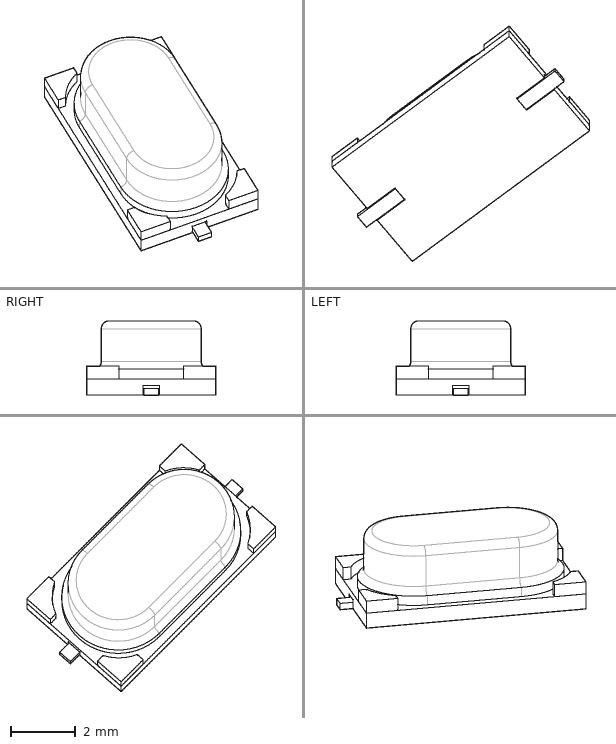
import cadquery as cq
import math


BASE_LENGTH = 7.0
BASE_WIDTH = 4.0
BASE_THICKNESS = 0.5
BASE_BOTTOM = 0.01
BASE_TOP = BASE_BOTTOM + BASE_THICKNESS

LEAD_SPAN = 7.8
LEAD_LENGTH = 1.5
LEAD_WIDTH = 0.45
LEAD_THICKNESS = 0.21
SLOT_WIDTH = 0.5
SLOT_HEIGHT = 0.3
LEAD_INNER_X = LEAD_SPAN / 2 - LEAD_LENGTH

BLOCK_SIDE = 1.0
BLOCK_HEIGHT = 0.4
BLOCK_FLAT = 0.25
HOLLOW_DEPTH = 0.09

CAN_HEIGHT = 1.8
END_CENTRE_SPACING = 2.995
FLANGE_WIDTH = 3.495
FLANGE_HEIGHT = 0.305
WALL_WIDTH = 3.1
END_CENTRE_X = END_CENTRE_SPACING / 2
FLANGE_RADIUS = FLANGE_WIDTH / 2
WALL_RADIUS = WALL_WIDTH / 2
FLANGE_STEP = FLANGE_RADIUS - WALL_RADIUS
FILLET_RADIUS = 0.25


def make_base():
    """Rectangular plate with an open-ended slot for a lead at each end."""
    plate = (
        cq.Workplane("XY", origin=(0, 0, BASE_BOTTOM))
        .rect(BASE_LENGTH, BASE_WIDTH)
        .extrude(BASE_THICKNESS)
    )
    slot_length = BASE_LENGTH / 2 - LEAD_INNER_X
    slots = (
        cq.Workplane("XY", origin=(0, 0, BASE_BOTTOM))
        .pushPoints([(side * (LEAD_INNER_X + slot_length / 2), 0) for side in (-1, 1)])
        .rect(slot_length, SLOT_WIDTH)
        .extrude(SLOT_HEIGHT)
    )
    return plate.cut(slots)


def make_lead(side):
    """Flat lead lying in the slot at the -X (side = -1) or +X (side = 1) end."""
    centre_x = side * (LEAD_SPAN - LEAD_LENGTH) / 2
    return (
        cq.Workplane("XY", origin=(centre_x, 0, 0))
        .rect(LEAD_LENGTH, LEAD_WIDTH)
        .extrude(LEAD_THICKNESS)
    )


def make_corner_block(side_x, side_y):
    """Square block on one base corner, its inner corner hollowed by an arc."""
    outer_x = BASE_LENGTH / 2
    outer_y = BASE_WIDTH / 2
    inner_x = outer_x - BLOCK_SIDE
    inner_y = outer_y - BLOCK_SIDE
    flat_x = outer_x - BLOCK_FLAT
    flat_y = outer_y - BLOCK_FLAT
    diagonal_step = HOLLOW_DEPTH / math.sqrt(2)
    hollow_mid = ((inner_x + flat_x) / 2 + diagonal_step, (inner_y + flat_y) / 2 + diagonal_step)

    def place(x, y):
        return (side_x * x, side_y * y)

    return (
        cq.Workplane("XY", origin=(0, 0, BASE_TOP))
        .moveTo(*place(outer_x, outer_y))
        .lineTo(*place(inner_x, outer_y))
        .lineTo(*place(inner_x, flat_y))
        .threePointArc(place(*hollow_mid), place(flat_x, inner_y))
        .lineTo(*place(outer_x, inner_y))
        .close()
        .extrude(BLOCK_HEIGHT)
    )


def can_half_section(workplane):
    """Half section of the can, from its axis out to the flange, as a closed wire."""
    cove_centre_r = WALL_RADIUS + FILLET_RADIUS
    cove_end_angle = math.acos((FILLET_RADIUS - FLANGE_STEP) / FILLET_RADIUS)
    cove_top = FLANGE_HEIGHT + FILLET_RADIUS * math.sin(cove_end_angle)
    cove_mid = (
        cove_centre_r - FILLET_RADIUS * math.cos(cove_end_angle / 2),
        cove_top - FILLET_RADIUS * math.sin(cove_end_angle / 2),
    )
    round_reach = FILLET_RADIUS * math.sqrt(0.5)
    round_mid = (
        WALL_RADIUS - FILLET_RADIUS + round_reach,
        CAN_HEIGHT - FILLET_RADIUS + round_reach,
    )
    return (
        workplane
        .lineTo(FLANGE_RADIUS, 0)
        .lineTo(FLANGE_RADIUS, FLANGE_HEIGHT)
        .threePointArc(cove_mid, (WALL_RADIUS, cove_top))
        .lineTo(WALL_RADIUS, CAN_HEIGHT - FILLET_RADIUS)
        .threePointArc(round_mid, (WALL_RADIUS - FILLET_RADIUS, CAN_HEIGHT))
        .lineTo(0, CAN_HEIGHT)
        .close()
    )


def make_can():
    """Obround can: a straight middle between two round ends, all of one section."""
    half_middle = can_half_section(
        cq.Workplane("YZ", origin=(-END_CENTRE_X, 0, BASE_TOP))
    ).extrude(2 * END_CENTRE_X)
    can = half_middle.union(half_middle.mirror("XZ"))
    for side in (-1, 1):
        round_end = can_half_section(
            cq.Workplane("XZ", origin=(side * END_CENTRE_X, 0, BASE_TOP))
        ).revolve(360, (0, 0), (0, 1))
        can = can.union(round_end)
    return can.clean()


base = make_base()
can = make_can()
leads = [make_lead(side) for side in (-1, 1)]
corner_blocks = [make_corner_block(side_x, side_y) for side_x in (-1, 1) for side_y in (-1, 1)]

result = cq.Compound.makeCompound([
    base.val(),
    can.val(),
    *[lead.val() for lead in leads],
    *[block.val() for block in corner_blocks],
])